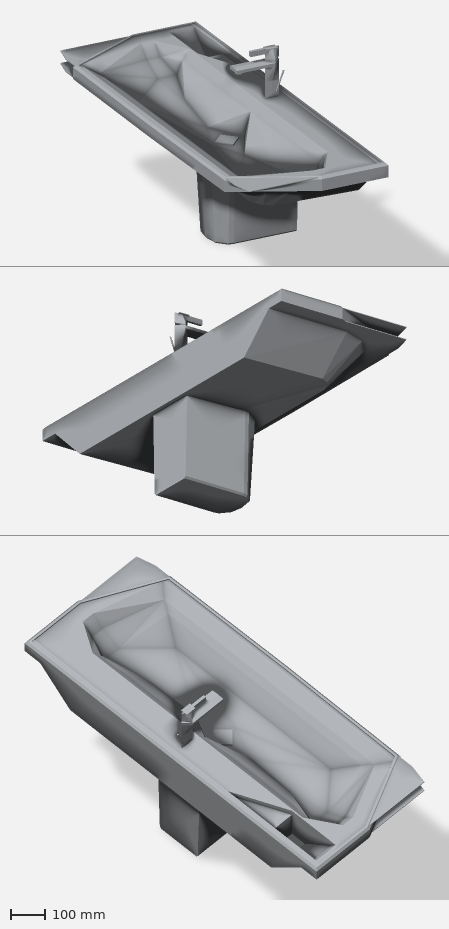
import cadquery as cq


half_length = 602.0
side_depth = 220.0
front_half_length = 476.0
front_corner_depth = 477.0
front_middle_depth = 480.0
rim_height = 45.0
rim_chamfer = 7.0
lip_inset = 15.0
back_step_depth = 26.0
back_step_z = -2.0
deck_z = -5.0

plate_half_length = 594.0
plate_side_depth = 456.0
plate_front_half_length = 530.0
plate_front_depth = 472.0
plate_thickness = 2.0
plate_top_z = -2.0

pocket_back_y = -back_step_depth
pocket_front_y = -108.0
pocket_right_x = -393.0
pocket_floor_z = -114.0
pocket_profile = [
    (-573.0, deck_z),
    (-549.0, -30.0),
    (-445.0, pocket_floor_z),
    (pocket_right_x, pocket_floor_z),
    (pocket_right_x, deck_z),
]
ledge_tip_x = -205.0
ledge_depth = 19.0

drain_floor_z = -113.0
drain_centre_y = -218.0
cover_half_diagonal = 40.0
cover_thickness = 5.0

shroud_centre_x = -15.0
shroud_back_y = -19.0
shroud_side_y = -229.0
shroud_shoulder_y = -245.0
shroud_top_half_width = 85.0
shroud_top_front_y = -297.0
shroud_bottom_half_width = 78.0
shroud_bottom_front_y = -282.0
shroud_nose_ratio = 0.57
shroud_nose_setback = 7.0
shroud_top_z = -145.0
shroud_bottom_z = -418.0
shroud_chamfer = 6.0

tap_y = -69.0
tap_half_depth = 23.0
tap_half_width = 23.0
blade_half_width = 1.0
blade_top_z = 49.0
tap_shoulder_z = 104.0
tap_top_z = 115.0
spout_tip_y = -196.0
spout_edge_z = 113.0
aerator_y = -178.0
aerator_radius = 12.0
aerator_drop = 8.0
rod_bottom = (-54.0, 12.0)
rod_top = (-30.0, 75.0)
rod_radius = 2.0

handle_shoulder_z = 124.0
handle_top_z = 157.0
handle_top_half_width = 5.0
lever_back_y = -55.0
lever_tip_y = -142.0
lever_half_width = 5.0
lever_height = 17.0
cap_half_width = 12.0
cap_thickness = 2.0


def polyhedron(faces):
    """Solid enclosed by flat faces, each given as a list of corner points."""
    flat = [cq.Face.makeFromWires(cq.Wire.makePolygon([cq.Vector(*p) for p in f], close=True)) for f in faces]
    solid = cq.Solid.makeSolid(cq.Shell.makeShell(flat))
    return cq.Workplane(solid.fix())


def mirrored(points):
    """Complete an outline in XY from its right half, listed from back to front."""
    return points + [(-x, y) for x, y in reversed(points) if x > 0]


def diamond(half_width, z):
    """Upright tap cross-section as a closed wire at height z."""
    corners = [
        (half_width, tap_y),
        (0, tap_y + tap_half_depth),
        (-half_width, tap_y),
        (0, tap_y - tap_half_depth),
    ]
    return cq.Wire.makePolygon([cq.Vector(x, y, z) for x, y in corners], close=True)


def diamond_loft(*sections):
    """Ruled solid through diamonds given as (half width, height)."""
    return cq.Workplane(cq.Solid.makeLoft([diamond(w, z) for w, z in sections], True))


def block(x_range, y_range, z_range):
    """Box between the given limits."""
    (x0, x1), (y0, y1), (z0, z1) = x_range, y_range, z_range
    return cq.Workplane("XY").box(x1 - x0, y1 - y0, z1 - z0, centered=False).translate((x0, y0, z0))


def make_rim():
    outline = mirrored([
        (half_length, 0),
        (half_length, -side_depth),
        (front_half_length, -front_corner_depth),
        (0, -front_middle_depth),
    ])
    rim = cq.Workplane("XY", origin=(0, 0, -rim_height)).polyline(outline).close().extrude(rim_height)
    rim = rim.faces(">Z").edges().chamfer(rim_chamfer)
    deck = cq.Workplane("XY", origin=(0, 0, deck_z)).polyline(outline).close().offset2D(-lip_inset)
    deck = deck.extrude(-deck_z)
    back_step = block((-half_length, half_length), (-back_step_depth, 0), (deck_z, back_step_z))
    return rim.cut(deck.cut(back_step))


def make_underbody():
    """Bowl underside, flaring from its sloping bottom up to the rim."""
    top = [(538.0, 0), (538.0, -282.0), (512.0, -355.0), (456.0, -403.0), (350.0, -429.0)]
    bottom = [
        (414.0, 0, -157.0),
        (414.0, -282.0, -149.0),
        (400.0, -310.0, -148.0),
        (378.0, -325.0, -147.0),
        (350.0, -335.0, -147.0),
    ]
    upper = [(x, y, -rim_height) for x, y in top]
    ring_top = upper + [(-x, y, z) for x, y, z in reversed(upper)]
    ring_bottom = bottom + [(-x, y, z) for x, y, z in reversed(bottom)]
    faces = [ring_top]
    back_left = len(ring_top) - 1
    for i in range(back_left):
        faces.append([ring_top[i], ring_top[i + 1], ring_bottom[i + 1]])
        faces.append([ring_top[i], ring_bottom[i + 1], ring_bottom[i]])
    faces.append([ring_top[back_left], ring_top[0], ring_bottom[0], ring_bottom[back_left]])
    for i in range(1, back_left):
        faces.append([ring_bottom[0], ring_bottom[i], ring_bottom[i + 1]])
    return polyhedron(faces)


def make_bowl_half():
    """Right half of the faceted bowl cavity, closed by the plane X = 0."""
    back_edge_mid = (0, -113.0, deck_z)
    back_edge_end = (433.0, -113.0, deck_z)
    corner_edge = (536.0, -176.0, deck_z)
    side_edge = (536.0, -219.0, deck_z)
    front_edge_end = (477.0, -450.0, deck_z)
    front_edge_mid = (0, -450.0, deck_z)
    band_mid = (0, -140.0, -35.0)
    band_end = (429.0, -140.0, -35.0)
    wall_foot_end = (429.0, -160.0, -76.0)
    wall_foot_inner = (289.0, -205.0, -94.0)
    step_back = (497.0, -176.0, -43.0)
    step_front = (497.0, -219.0, -43.0)
    drain_back = (0, -163.0, drain_floor_z)
    drain_side = (115.0, -222.0, drain_floor_z)
    drain_front = (0, -270.0, drain_floor_z)
    floor_end = (429.0, -219.0, -77.0)
    slope_foot_end = (319.0, -343.0, -89.0)
    slope_foot_mid = (0, -343.0, -89.0)
    slope_bend_end = (400.0, -391.0, -40.0)
    slope_bend_mid = (0, -391.0, -40.0)
    slope_head_end = (433.0, -412.0, -24.0)
    slope_head_mid = (0, -412.0, -24.0)
    return polyhedron([
        [back_edge_mid, back_edge_end, corner_edge, side_edge, front_edge_end, front_edge_mid],
        [back_edge_mid, back_edge_end, band_end, band_mid],
        [band_mid, drain_back, drain_side],
        [band_mid, drain_side, wall_foot_inner],
        [band_mid, wall_foot_inner, band_end],
        [band_end, wall_foot_inner, wall_foot_end],
        [drain_side, floor_end, wall_foot_inner],
        [wall_foot_inner, floor_end, wall_foot_end],
        [back_edge_end, corner_edge, step_back],
        [back_edge_end, step_back, band_end],
        [band_end, step_back, wall_foot_end],
        [wall_foot_end, step_back, floor_end],
        [step_back, step_front, floor_end],
        [corner_edge, side_edge, step_front, step_back],
        [side_edge, front_edge_end, slope_head_end],
        [side_edge, slope_head_end, step_front],
        [step_front, slope_head_end, floor_end],
        [slope_head_end, slope_bend_end, floor_end],
        [slope_bend_end, slope_foot_end, floor_end],
        [drain_back, drain_side, drain_front],
        [drain_side, floor_end, slope_foot_end],
        [drain_side, slope_foot_end, drain_front],
        [drain_front, slope_foot_end, slope_foot_mid],
        [slope_foot_mid, slope_foot_end, slope_bend_end, slope_bend_mid],
        [slope_bend_mid, slope_bend_end, slope_head_end, slope_head_mid],
        [slope_head_mid, slope_head_end, front_edge_end, front_edge_mid],
        [back_edge_mid, front_edge_mid, slope_head_mid, slope_bend_mid, slope_foot_mid,
         drain_front, drain_back, band_mid],
    ])


def make_corner_plate(top_z):
    """Thin plate filling the corner beside the slanted right end."""
    outline = [
        (plate_half_length, -side_depth),
        (plate_half_length, -plate_side_depth),
        (plate_front_half_length, -plate_front_depth),
        (front_half_length - lip_inset / 2, -plate_front_depth),
        (half_length - lip_inset, -side_depth),
    ]
    return cq.Workplane("XY", origin=(0, 0, top_z)).polyline(outline).close().extrude(-plate_thickness)


def make_deck_pocket():
    """Deep pocket with a sloping left wall, and a shallow three-cornered ledge to its right."""
    width = pocket_back_y - pocket_front_y
    deep = cq.Workplane("XZ", origin=(0, pocket_back_y, 0)).polyline(pocket_profile).close().extrude(width)
    ledge_outline = [
        (pocket_right_x, pocket_back_y),
        (ledge_tip_x, pocket_back_y),
        (pocket_right_x, pocket_front_y),
    ]
    ledge = cq.Workplane("XY", origin=(0, 0, deck_z)).polyline(ledge_outline).close().extrude(-ledge_depth)
    return deep.union(ledge)


def make_basin():
    bowl_half = make_bowl_half()
    basin = make_rim().union(make_underbody())
    upper_plate = make_corner_plate(plate_top_z)
    lower_plate = make_corner_plate(plate_thickness - rim_height)
    for plate in (upper_plate, upper_plate.mirror("YZ"), lower_plate.mirror("YZ")):
        basin = basin.union(plate)
    return basin.cut(bowl_half).cut(bowl_half.mirror("YZ")).cut(make_deck_pocket())


def make_drain_cover():
    side = cover_half_diagonal * 2 ** 0.5
    cover = cq.Workplane("XY").rect(side, side).extrude(cover_thickness)
    return cover.rotate((0, 0, 0), (0, 0, 1), 45).translate((0, drain_centre_y, drain_floor_z))


def shroud_section(half_width, front_y, z):
    """U-shaped shroud outline with a faceted front."""
    right_half = [
        (half_width, shroud_back_y),
        (half_width, shroud_side_y),
        (half_width - shroud_nose_setback / 2, shroud_shoulder_y),
        (half_width * shroud_nose_ratio, front_y + shroud_nose_setback),
        (0, front_y),
    ]
    corners = [cq.Vector(shroud_centre_x + x, y, z) for x, y in mirrored(right_half)]
    return cq.Wire.makePolygon(corners, close=True)


def make_shroud(basin):
    foot = shroud_section(
        shroud_bottom_half_width - shroud_chamfer,
        shroud_bottom_front_y + shroud_chamfer,
        shroud_bottom_z,
    )
    bottom = shroud_section(shroud_bottom_half_width, shroud_bottom_front_y, shroud_bottom_z + shroud_chamfer)
    top = shroud_section(shroud_top_half_width, shroud_top_front_y, shroud_top_z)
    shroud = cq.Workplane(cq.Solid.makeLoft([foot, bottom, top], True))
    return shroud.cut(basin)


def make_tap():
    column = diamond_loft(
        (blade_half_width, deck_z),
        (blade_half_width, blade_top_z),
        (tap_half_width, tap_shoulder_z),
        (tap_half_width, tap_top_z),
    )
    spout_profile = [
        (-tap_half_width, tap_shoulder_z),
        (tap_half_width, tap_shoulder_z),
        (tap_half_width, spout_edge_z),
        (0, tap_top_z),
        (-tap_half_width, spout_edge_z),
    ]
    spout_reach = tap_y - spout_tip_y
    spout = cq.Workplane("XZ", origin=(0, tap_y, 0)).polyline(spout_profile).close().extrude(spout_reach)
    aerator = cq.Workplane("XY", origin=(0, aerator_y, tap_shoulder_z)).circle(aerator_radius)
    aerator = aerator.extrude(-aerator_drop)
    start = cq.Vector(0, *rod_bottom)
    axis = cq.Vector(0, *rod_top) - start
    rod = cq.Workplane(cq.Solid.makeCylinder(rod_radius, axis.Length, start, axis))
    return column.union(spout).union(aerator).union(rod)


def make_handle():
    head = diamond_loft(
        (tap_half_width, tap_top_z),
        (tap_half_width, handle_shoulder_z),
        (handle_top_half_width, handle_top_z),
    )
    back_y = tap_y + tap_half_depth
    gap_profile = [(tap_y, tap_top_z), (back_y, tap_top_z), (back_y, handle_shoulder_z)]
    gap = cq.Workplane("YZ").polyline(gap_profile).close().extrude(tap_half_width, both=True)
    lever = block(
        (-lever_half_width, lever_half_width),
        (lever_tip_y, lever_back_y),
        (handle_top_z - lever_height, handle_top_z),
    )
    cap = block(
        (-cap_half_width, cap_half_width),
        (tap_y - tap_half_depth, lever_back_y),
        (handle_top_z - cap_thickness, handle_top_z),
    )
    return head.cut(gap).union(lever).union(cap)


basin = make_basin()
shroud = make_shroud(basin)
drain_cover = make_drain_cover()
tap = make_tap()
handle = make_handle()

result = cq.Compound.makeCompound([
    basin.val(),
    shroud.val(),
    drain_cover.val(),
    tap.val(),
    handle.val(),
])